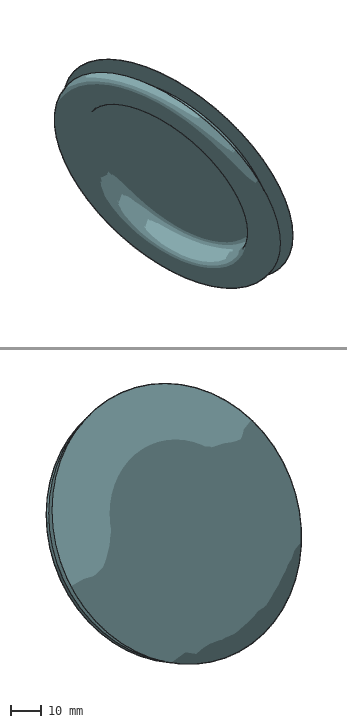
import cadquery as cq
import math


head_radius = 47.1
head_height = 4.0
dome_arc_radius = 50.0
neck_radius = 38.35
neck_length = 5.0
flange_radius = 45.6
flange_thickness = 4.0
edge_radius = 3.0
pocket_radius = 33.6
pocket_depth = 9.0

neck_start = flange_thickness
head_start = neck_start + neck_length
crown = head_start + head_height

dome_run = math.sqrt(dome_arc_radius**2 - (dome_arc_radius - head_height) ** 2)
crown_radius = head_radius - dome_run


def make_body():
    """Revolve the outer half profile into a solid plug."""
    profile = (
        cq.Workplane("XY")
        .moveTo(0, 0)
        .lineTo(flange_radius - edge_radius, 0)
        .radiusArc((flange_radius, edge_radius), -edge_radius)
        .lineTo(flange_radius, neck_start)
        .lineTo(neck_radius, neck_start)
        .lineTo(neck_radius, head_start)
        .lineTo(head_radius, head_start)
        .radiusArc((crown_radius, crown), -dome_arc_radius)
        .lineTo(0, crown)
        .close()
    )
    return profile.revolve(360, (0, 0, 0), (0, 1, 0))


def make_pocket():
    """Revolve the recess, with a flared mouth and a rounded floor corner."""
    profile = (
        cq.Workplane("XY")
        .moveTo(0, 0)
        .lineTo(pocket_radius + edge_radius, 0)
        .radiusArc((pocket_radius, edge_radius), edge_radius)
        .lineTo(pocket_radius, pocket_depth - edge_radius)
        .radiusArc((pocket_radius - edge_radius, pocket_depth), -edge_radius)
        .lineTo(0, pocket_depth)
        .close()
    )
    return profile.revolve(360, (0, 0, 0), (0, 1, 0))


result = make_body().cut(make_pocket())